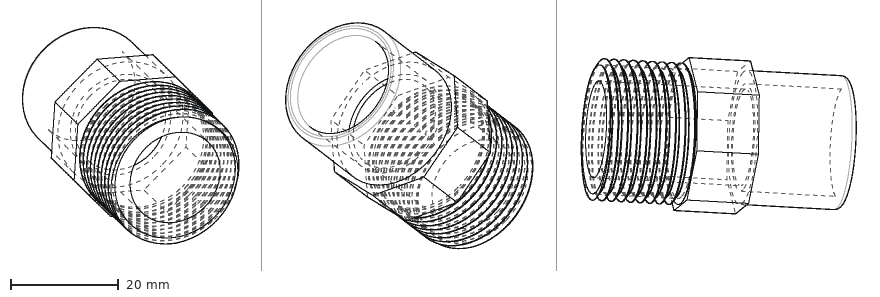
import cadquery as cq
import math

total_length = 47.0
spigot_length = 19.0
octagon_length = 11.75
thread_length = total_length - spigot_length - octagon_length
thread_start = spigot_length + octagon_length

spigot_diameter = 25.0
socket_diameter = 20.0
bore_diameter = 18.0
lip_radius = 1.0

flat_count = 8
across_flats = 27.0
octagon_tilt = -3.8

root_diameter = 24.05
crest_diameter = 26.45
thread_turns = 8.9
pitch = thread_length / thread_turns
tooth_base_width = 1.7
tooth_crest_width = 0.2
tooth_embed = 0.05
start_phase = 0.2
extra_turns = 2


def cylinder_along_x(start, length, diameter):
    return cq.Workplane("YZ", origin=(start, 0, 0)).circle(diameter / 2).extrude(length)


def make_octagon():
    corner_diameter = across_flats / math.cos(math.pi / flat_count)
    first_corner = 180 / flat_count + octagon_tilt
    return (
        cq.Workplane("YZ", origin=(spigot_length, 0, 0))
        .polygon(flat_count, corner_diameter)
        .extrude(octagon_length)
        .rotate((0, 0, 0), (1, 0, 0), first_corner)
    )


def make_fitting():
    """Spigot with a rounded lip, octagon, thread core and stepped bore."""
    spigot = (
        cylinder_along_x(0, spigot_length, spigot_diameter)
        .cut(cylinder_along_x(0, spigot_length, socket_diameter))
        .faces("<X")
        .edges()
        .fillet(lip_radius)
    )
    octagon_and_core = (
        make_octagon()
        .union(cylinder_along_x(thread_start, thread_length, root_diameter))
        .cut(cylinder_along_x(0, total_length, bore_diameter))
    )
    return spigot.union(octagon_and_core)


def make_thread():
    """Right-hand helical ridge wound on the core, trimmed flush at both ends."""
    root_radius = root_diameter / 2
    crest_radius = crest_diameter / 2
    flank_slope = (tooth_base_width - tooth_crest_width) / (crest_radius - root_radius)
    inner_radius = root_radius - tooth_embed
    inner_width = tooth_base_width + flank_slope * tooth_embed

    swept_length = thread_length + 2 * extra_turns * pitch
    helix = cq.Wire.makeHelix(pitch, swept_length, root_radius)
    ridge = (
        cq.Workplane("XZ")
        .moveTo(inner_radius, -inner_width / 2)
        .lineTo(crest_radius, -tooth_crest_width / 2)
        .lineTo(crest_radius, tooth_crest_width / 2)
        .lineTo(inner_radius, inner_width / 2)
        .close()
        .sweep(cq.Workplane(obj=helix), isFrenet=True)
    )
    ridge_start = thread_start + (start_phase - extra_turns) * pitch
    placement = cq.Plane(origin=(ridge_start, 0, 0), xDir=(0, 1, 0), normal=(1, 0, 0))
    placed_ridge = cq.Workplane(obj=ridge.val().moved(placement.location))

    end_trim = cylinder_along_x(thread_start, thread_length, total_length)
    core = cylinder_along_x(0, 2 * total_length, root_diameter)
    return placed_ridge.intersect(end_trim).cut(core)


fitting = make_fitting()
thread = make_thread()

result = cq.Compound.makeCompound([*fitting.solids().vals(), *thread.solids().vals()])